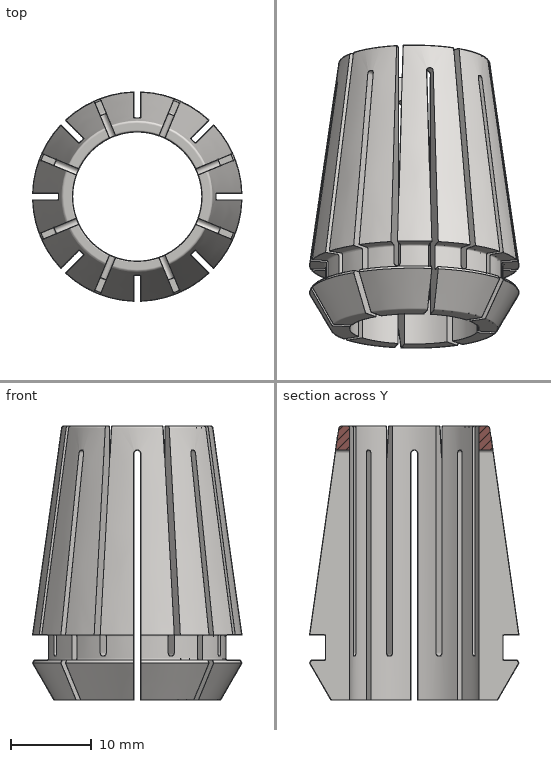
import cadquery as cq
import math

total_height = 34.0
max_radius = 13.0
bore_diameter = 16.0
bore_radius = bore_diameter / 2

nose_half_angle = 30.0
nose_rim_height = 4.62
nose_top_height = 4.95
nose_rim_inset = 0.25
nose_face_fillet = 0.2

groove_radius = 11.0
groove_fillet = 0.2

body_bottom_height = 8.1
body_half_angle = 8.0
back_outer_fillet = 0.3
back_bore_fillet = 0.2

slots_per_set = 8
slot_width = 0.8
nose_slot_top = 31.0
back_slot_bottom = 5.47

slot_pitch = 360.0 / slots_per_set
cut_margin = 1.7
slot_reach = max_radius + cut_margin


def revolved_body():
    """Collet with its bore, before rounding and slotting."""
    nose_face_radius = max_radius - nose_rim_height * math.tan(math.radians(nose_half_angle))
    body_taper = math.tan(math.radians(body_half_angle))
    back_face_radius = max_radius - (total_height - body_bottom_height) * body_taper
    fillet_radius = groove_radius + groove_fillet
    fillet_mid = groove_fillet * (1 - math.sqrt(0.5))

    return (
        cq.Workplane("XZ")
        .moveTo(bore_radius, 0)
        .lineTo(nose_face_radius, 0)
        .lineTo(max_radius, nose_rim_height)
        .lineTo(max_radius - nose_rim_inset, nose_top_height)
        .lineTo(fillet_radius, nose_top_height)
        .threePointArc(
            (groove_radius + fillet_mid, nose_top_height + fillet_mid),
            (groove_radius, nose_top_height + groove_fillet),
        )
        .lineTo(groove_radius, body_bottom_height - groove_fillet)
        .threePointArc(
            (groove_radius + fillet_mid, body_bottom_height - fillet_mid),
            (fillet_radius, body_bottom_height),
        )
        .lineTo(max_radius, body_bottom_height)
        .lineTo(back_face_radius, total_height)
        .lineTo(bore_radius, total_height)
        .close()
        .revolve(360, (0, 0), (0, 1))
    )


def with_rounded_ends(collet):
    """Round both rims of the back face and the outer rim of the nose face."""
    inner_rim = cq.selectors.RadiusNthSelector(0)
    outer_rim = cq.selectors.RadiusNthSelector(-1)
    collet = collet.faces(">Z").edges(outer_rim).fillet(back_outer_fillet)
    collet = collet.faces(">Z").edges(inner_rim).fillet(back_bore_fillet)
    return collet.faces("<Z").edges(outer_rim).fillet(nose_face_fillet)


def slot_cutter(z_low, z_high, angle):
    """Round-ended blade through one wall, from the axis outward at the given angle."""
    height = z_high - z_low
    blade = (
        cq.Workplane("YZ")
        .center(0, (z_low + z_high) / 2)
        .slot2D(height, slot_width, 90)
        .extrude(slot_reach)
    )
    return blade.rotate((0, 0, 0), (0, 0, 1), angle)


result = with_rounded_ends(revolved_body())
for index in range(slots_per_set):
    nose_slot_angle = index * slot_pitch
    back_slot_angle = nose_slot_angle + slot_pitch / 2
    result = result.cut(slot_cutter(-cut_margin, nose_slot_top, nose_slot_angle))
    result = result.cut(slot_cutter(back_slot_bottom, total_height + cut_margin, back_slot_angle))